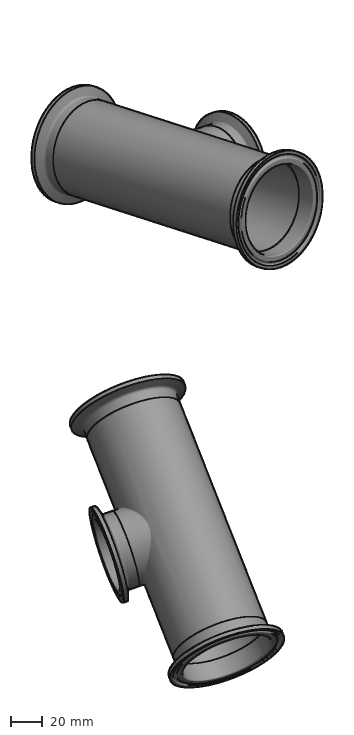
import cadquery as cq
import math

overall_length = 184.2
run_radius = 31.7
run_rim_radius = 38.7
run_cone_fillet = 1.8
run_groove_radius = 35.2

branch_radius = 25.5
branch_rim_radius = 32.0
branch_cone_fillet = 1.3
branch_groove_radius = 28.4
branch_face_y = 47.5

wall = 1.7
ferrule_length = 12.7
rim_thickness = 3.0
cone_angle = math.radians(20)
groove_half_width = 1.3
groove_depth = 1.3
groove_edge_fillet = 0.5
bore_edge_fillet = 0.7
junction_fillet = 0.7

run_half_length = overall_length / 2 - ferrule_length
branch_joint_y = branch_face_y - ferrule_length


def make_ferrule(tube_radius, rim_radius, cone_fillet, groove_radius):
    """Clamp ferrule on the Y axis: gasket face at Y = 0, tube end at Y = -ferrule_length."""
    bore_radius = tube_radius - wall

    fillet_center_radius = tube_radius + cone_fillet
    cone_end_radius = fillet_center_radius - cone_fillet * math.sin(cone_angle)
    cone_end_depth = rim_thickness + (rim_radius - cone_end_radius) * math.tan(cone_angle)
    fillet_center_depth = cone_end_depth + cone_fillet * math.cos(cone_angle)
    middle_angle = (cone_angle + math.pi / 2) / 2
    fillet_middle = (
        fillet_center_radius - cone_fillet * math.sin(middle_angle),
        -fillet_center_depth + cone_fillet * math.cos(middle_angle),
    )

    body = (
        cq.Workplane("XY")
        .moveTo(bore_radius, 0)
        .lineTo(rim_radius, 0)
        .lineTo(rim_radius, -rim_thickness)
        .lineTo(cone_end_radius, -cone_end_depth)
        .threePointArc(fillet_middle, (tube_radius, -fillet_center_depth))
        .lineTo(tube_radius, -ferrule_length)
        .lineTo(bore_radius, -ferrule_length)
        .close()
        .revolve(360, (0, 0, 0), (0, 1, 0))
    )
    bore_edge = cq.selectors.RadiusNthSelector(0)
    body = body.faces(">Y").edges(bore_edge).fillet(bore_edge_fillet)

    groove = (
        cq.Workplane("XY")
        .moveTo(groove_radius - groove_half_width, 0)
        .threePointArc((groove_radius, -groove_depth), (groove_radius + groove_half_width, 0))
        .close()
        .revolve(360, (0, 0, 0), (0, 1, 0))
    )
    body = body.cut(groove)
    groove_edges = cq.selectors.RadiusNthSelector(1) + cq.selectors.RadiusNthSelector(2)
    return body.faces(">Y").edges(groove_edges).fillet(groove_edge_fillet)


def run_cylinder(radius):
    return cq.Workplane("YZ").circle(radius).extrude(run_half_length, both=True)


def branch_cylinder(radius):
    return cq.Workplane("XZ").circle(radius).extrude(-branch_joint_y)


def make_tee():
    """Run and branch tubes, rounded where their outsides meet and open inside."""
    outside = run_cylinder(run_radius).union(branch_cylinder(branch_radius))
    junction_y = math.sqrt(run_radius**2 - branch_radius**2)
    margin = 0.2
    junction_zone = cq.selectors.BoxSelector(
        (-branch_radius - margin, junction_y - margin, -branch_radius - margin),
        (branch_radius + margin, run_radius + margin, branch_radius + margin),
        boundingbox=True,
    )
    outside = outside.edges(junction_zone).fillet(junction_fillet)
    return outside.cut(run_cylinder(run_radius - wall)).cut(branch_cylinder(branch_radius - wall))


tee = make_tee()

run_ferrules = []
for turn in (-90, 90):
    ferrule = make_ferrule(run_radius, run_rim_radius, run_cone_fillet, run_groove_radius)
    ferrule = ferrule.translate((0, overall_length / 2, 0)).rotate((0, 0, 0), (0, 0, 1), turn)
    run_ferrules.append(ferrule.solids().val())

branch_ferrule = make_ferrule(
    branch_radius, branch_rim_radius, branch_cone_fillet, branch_groove_radius
).translate((0, branch_face_y, 0))

result = cq.Compound.makeCompound([tee.solids().val(), *run_ferrules, branch_ferrule.solids().val()])